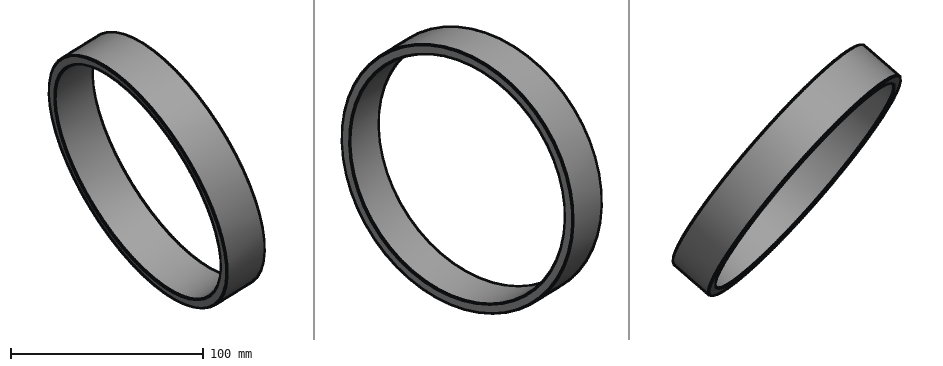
import cadquery as cq

outer_diameter = 151.1
wall_thickness = 5.7
width = 25.4
edge_chamfer = 0.5

mean_radius = outer_diameter / 2 - wall_thickness / 2

ring = (
    cq.Workplane("YZ")
    .center(0, mean_radius)
    .rect(width, wall_thickness)
    .revolve(360, (0, -mean_radius), (1, -mean_radius))
)

result = ring.faces("<Y or >Y").edges().chamfer(edge_chamfer)